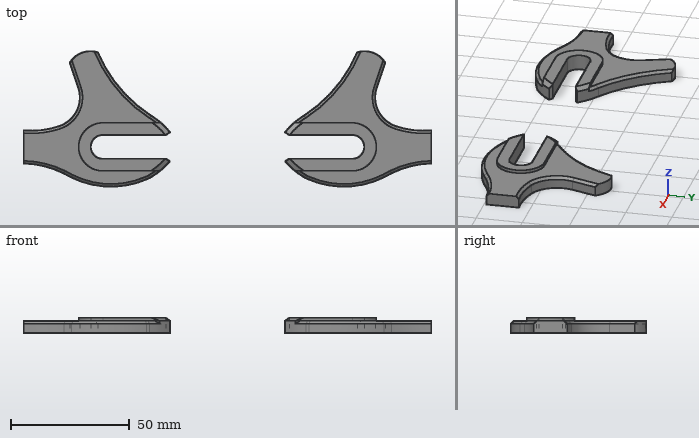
import cadquery as cq

overall_length = 171.7
plate_height = 5.2
rim_height = 6.5

slot_radius = 5.0
rim_radius = 10.1
slot_center_x = -52.5

plate_bevel = 1.2
rim_bevel_width = 2.2
edge_margin = 0.2
rim_bevel_height = rim_height - plate_height

outer_end_x = -overall_length / 2
outer_end_half_width = 7.0
tip_x = -24.4
blunt_end_x = -23.3
tip_half_width = 6.0
tip_inner_x = -26.0
belly_low_point = (-49.0, -16.8)
arm_outer_corner = (-66.5, 35.4)
arm_crown = (-62.1, 39.3)
crotch_end = (-70.9, 8.8)
arm_inner_corner = (-54.6, 39.8)
outer_arm_hollow = (-76.9, -8.2)
outer_arm_root = (-69.0, -11.2)
belly_start = (-65.7, -12.9)
belly_end = (-34.2, -13.7)
lower_tip_start = (-33.0, -13.2)
lower_tip_bulge = (-27.8, -9.6)
upper_tip_bulge = (-27.8, 10.0)
upper_tip_start = (-32.3, 13.2)
arm_hollow = (-45.1, 24.5)
crotch_start = (-62.8, 24.7)
crotch_middle = (-63.2, 16.0)


def wing_outline():
    """Closed outline of the wing, with the slot filled in and the tips untrimmed."""
    return (
        cq.Workplane("XY")
        .moveTo(outer_end_x, -outer_end_half_width)
        .threePointArc(outer_arm_hollow, outer_arm_root)
        .lineTo(*belly_start)
        .threePointArc(belly_low_point, belly_end)
        .lineTo(*lower_tip_start)
        .threePointArc(lower_tip_bulge, (blunt_end_x, -slot_radius))
        .lineTo(blunt_end_x, slot_radius)
        .threePointArc(upper_tip_bulge, upper_tip_start)
        .threePointArc(arm_hollow, arm_inner_corner)
        .threePointArc(arm_crown, arm_outer_corner)
        .lineTo(*crotch_start)
        .threePointArc(crotch_middle, crotch_end)
        .tangentArcPoint((outer_end_x, outer_end_half_width), relative=False)
        .close()
    )


def slot_prism(radius, height):
    """Round-ended bar along X that runs from the slot centre past the tips."""
    length = -slot_center_x
    bar = (
        cq.Workplane("XY")
        .center(slot_center_x + length / 2, 0)
        .rect(length, 2 * radius)
        .extrude(height)
    )
    return bar.union(cq.Workplane("XY").center(slot_center_x, 0).circle(radius).extrude(height))


def is_plate_bevel_edge(edge):
    """True on the long sides; the arm ends and tips stay sharp."""
    middle = edge.positionAt(0.5)
    on_outer_end = middle.x < outer_end_x + plate_bevel
    on_arm_end = middle.y > arm_outer_corner[1]
    on_tip = abs(middle.y) < tip_half_width
    return not (on_outer_end or on_arm_end or on_tip)


def is_rim_bevel_edge(edge):
    """True on the two outward sides of the rim tips."""
    middle = edge.positionAt(0.5)
    return middle.x > tip_x - rim_radius and slot_radius < abs(middle.y) < rim_radius - edge_margin


def make_plate():
    plate = wing_outline().extrude(plate_height)
    edges = plate.faces(">Z").edges().vals()
    bevel_edges = [edge for edge in edges if is_plate_bevel_edge(edge)]
    return plate.newObject(bevel_edges).chamfer(plate_bevel)


def make_rim():
    rim = wing_outline().extrude(rim_height).intersect(slot_prism(rim_radius, rim_height))
    for edge in rim.faces(">Z").edges().vals():
        if is_rim_bevel_edge(edge):
            legs = (rim_bevel_height, rim_bevel_width)
            if edge.positionAt(0.5).y < 0:
                legs = (rim_bevel_width, rim_bevel_height)
            beveled = rim.val().chamfer(*legs, [edge])
            rim = cq.Workplane("XY").newObject([beveled])
    return rim


def tip_trim():
    """Wedge between the tips that leaves a small slanted facet on each one."""
    slope = (tip_half_width - slot_radius) / (tip_x - tip_inner_x)
    far_half_width = slot_radius - slope * tip_inner_x
    return (
        cq.Workplane("XY")
        .moveTo(tip_inner_x, -slot_radius)
        .lineTo(0, -far_half_width)
        .lineTo(0, far_half_width)
        .lineTo(tip_inner_x, slot_radius)
        .close()
        .extrude(rim_height)
    )


def make_left_wing():
    solid_wing = make_plate().union(make_rim())
    return solid_wing.cut(slot_prism(slot_radius, rim_height)).cut(tip_trim())


left_wing = make_left_wing()
right_wing = left_wing.mirror("YZ")

result = cq.Compound.makeCompound([left_wing.val(), right_wing.val()])